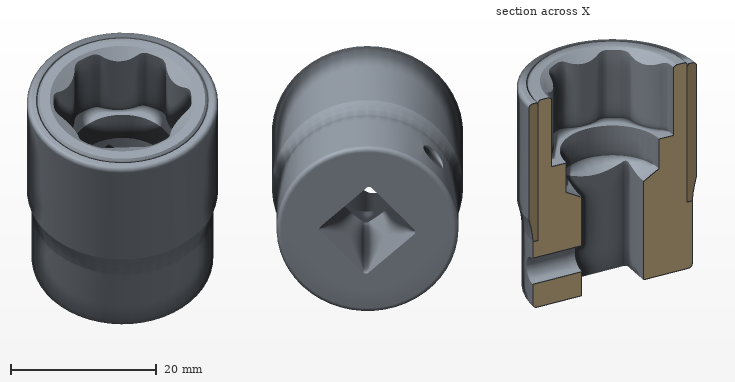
import cadquery as cq
import math

total_height = 32.3
neck_radius = 12.5
shoulder_height = 10.45
nose_radius = 11.7
nose_chamfer = 0.32
base_fillet = 0.65

sleeve_radius = 13.15
sleeve_top = 31.98
sleeve_fillet = 0.65
flare_top = 14.02
flare_end_radius = neck_radius
flare_sag = 0.1
bore_chamfer_width = 0.2
bore_chamfer_depth = 0.32

lobe_count = 6
pocket_floor = 21.4
lobe_tip_radius = 9.5
lobe_tip_half_angle = 6.5
lobe_corner_radius = 9.4
lobe_corner_half_angle = 10.0
valley_end_radius = 9.1
valley_end_half_angle = 13.5
valley_radius = 8.15
mouth_radius = 9.98
mouth_slope = 32.0

relief_radius = 7.25
relief_bottom = 16.8
drill_point_slope = 30.0
drive_side = 9.63
drive_corner_fillet = 0.52
detent_radius = 2.0
detent_height = 5.8


def polar(radius, degrees):
    """Point in the XY plane at a radius and an angle from +X."""
    angle = math.radians(degrees)
    return (radius * math.cos(angle), radius * math.sin(angle))


def cone(radius, base_z, slope):
    """Downward-pointing full cone with its base circle at base_z."""
    depth = radius * math.tan(math.radians(slope))
    profile = cq.Workplane("XZ").moveTo(0, base_z).lineTo(radius, base_z).lineTo(0, base_z - depth).close()
    return profile.revolve(360, (0, 0, 0), (0, 1, 0))


def lobed_pocket():
    """Prism with six lobes joined by valleys that bulge toward the axis."""
    pitch = 360.0 / lobe_count
    first_lobe = pitch / 2
    outline = cq.Workplane("XY").workplane(offset=pocket_floor)
    outline = outline.moveTo(*polar(valley_end_radius, first_lobe - valley_end_half_angle))
    for index in range(lobe_count):
        lobe = first_lobe + index * pitch
        outline = outline.threePointArc(
            polar(lobe_corner_radius, lobe - lobe_corner_half_angle),
            polar(lobe_tip_radius, lobe - lobe_tip_half_angle),
        )
        outline = outline.threePointArc(
            polar(lobe_tip_radius, lobe),
            polar(lobe_tip_radius, lobe + lobe_tip_half_angle),
        )
        outline = outline.threePointArc(
            polar(lobe_corner_radius, lobe + lobe_corner_half_angle),
            polar(valley_end_radius, lobe + valley_end_half_angle),
        )
        outline = outline.threePointArc(
            polar(valley_radius, lobe + pitch / 2),
            polar(valley_end_radius, lobe + pitch - valley_end_half_angle),
        )
    return outline.close().extrude(total_height - pocket_floor)


def make_socket():
    """Stepped socket with a lobed pocket above and a square drive below."""
    neck = cq.Workplane("XY").circle(neck_radius).extrude(shoulder_height)
    neck = neck.faces("<Z").edges().fillet(base_fillet)
    nose = cq.Workplane("XY").workplane(offset=shoulder_height).circle(nose_radius)
    nose = nose.extrude(total_height - shoulder_height).faces(">Z").edges().chamfer(nose_chamfer)

    relief = cq.Workplane("XY").workplane(offset=relief_bottom).circle(relief_radius)
    relief = relief.extrude(pocket_floor - relief_bottom)
    drive = cq.Workplane("XY").rect(drive_side, drive_side).extrude(relief_bottom)
    drive = drive.edges("|Z").fillet(drive_corner_fillet)

    detent = cq.Workplane("XZ").center(0, detent_height).circle(detent_radius).extrude(-sleeve_radius)

    socket = neck.union(nose)
    socket = socket.cut(lobed_pocket())
    socket = socket.cut(cone(mouth_radius, total_height, mouth_slope))
    socket = socket.cut(relief)
    socket = socket.cut(cone(relief_radius, relief_bottom, drill_point_slope))
    return socket.cut(drive).cut(detent)


def make_sleeve():
    """Ring resting on the socket shoulder, flaring out above its lower end."""
    flare_middle = ((flare_end_radius + sleeve_radius) / 2 - flare_sag, (shoulder_height + flare_top) / 2)
    fillet_diagonal = sleeve_fillet * math.sqrt(0.5)
    fillet_centre = (sleeve_radius - sleeve_fillet, sleeve_top - sleeve_fillet)
    profile = (
        cq.Workplane("XZ")
        .moveTo(nose_radius, shoulder_height)
        .lineTo(flare_end_radius, shoulder_height)
        .threePointArc(flare_middle, (sleeve_radius, flare_top))
        .lineTo(sleeve_radius, fillet_centre[1])
        .threePointArc(
            (fillet_centre[0] + fillet_diagonal, fillet_centre[1] + fillet_diagonal),
            (fillet_centre[0], sleeve_top),
        )
        .lineTo(nose_radius + bore_chamfer_width, sleeve_top)
        .lineTo(nose_radius, sleeve_top - bore_chamfer_depth)
        .close()
    )
    return profile.revolve(360, (0, 0, 0), (0, 1, 0))


socket = make_socket()
sleeve = make_sleeve()
result = cq.Compound.makeCompound([socket.val(), sleeve.val()])